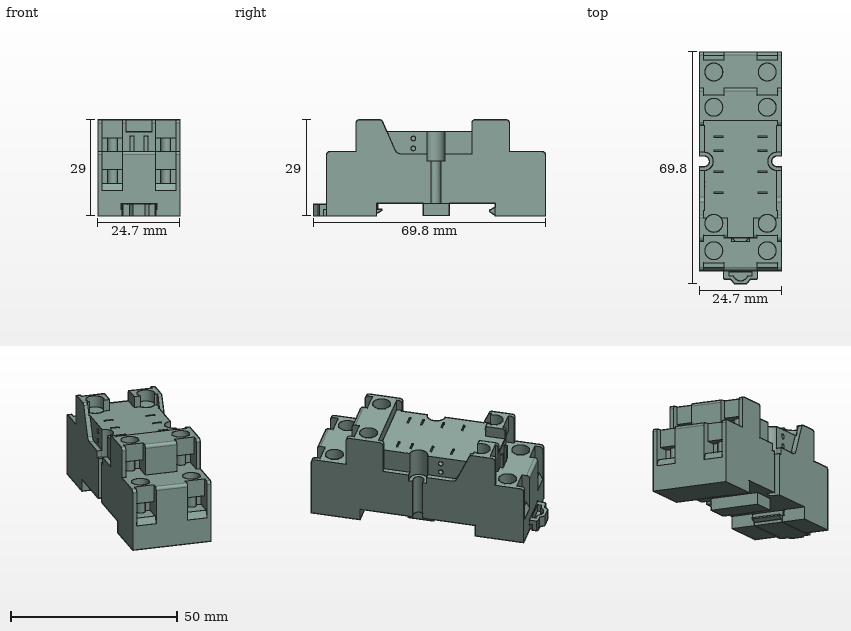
import cadquery as cq


overall_length = 69.8

width = 24.7
length = 65.9
total_height = 29.0
tier_drop = 9.55
tier_z = total_height - tier_drop
half_width = width / 2
edge_radius = 1.0
slope_foot_radius = 1.75

front_tower_y = 8.9
front_tower_back_y = 15.9
front_tower_top_back_y = 16.6
slope_foot_y = 21.15
back_tower_front_y = 43.7
back_tower_inner_y = 45.3
back_tower_y = 55.1
side_wall = 1.25
platform_z = 25.5
sill_z = 18.7
sill_depth = 1.55
tower_channel_width = 7.75
tower_mid_setback = 1.0
platform_lip = 0.15

rail_front_y = 15.1
rail_back_y = 50.75
rail_z = 3.8
foot_front_y = 29.05
foot_back_y = 37.0
foot_bottom_z = 0.15
foot_width = 15.8
hook_reach = 1.75
hook_width = 10.3
hook_top_z = 2.7
hook_tip_top_z = 1.75
hook_tip_bottom_z = 1.3
hook_bottom_z = 0.15

terminal_width = 6.15
terminal_x = half_width - side_wall - terminal_width / 2
screw_diameter = 5.4
screw_to_recess = 3.6
screw_depth = 3.55
post_diameter = 3.0
recess_height = 5.45
lip_depth = 1.05
lip_height = 2.1
front_low_screw_y = 6.1
front_tower_screw_y = 14.3
back_low_screw_y = 59.8
back_tower_screw_y = 49.2

notch_y = 32.95
notch_axis_inset = 1.4
notch_diameter = 3.15
counterbore_diameter = 5.5
counterbore_z = 16.6
side_bore_radius = 0.7
side_bore_depth = 2.1
side_bore_y = 26.1
side_bore_heights = (20.3, 23.3)

blade_x = 6.6
blade_length = 2.7
blade_thickness = 0.5
blade_depth = 3.5
blade_rows = (23.5, 29.9, 36.15, 40.35)

guide_width = 5.45
guide_top_z = 24.0
guide_mouth_width = 3.1
guide_root_width = 5.0
guide_slot_depth = 4.2

clip_width = 10.3
clip_height = 3.55
clip_flange_z = 1.95
clip_neck_width = 9.2
clip_neck_front_y = -0.85
clip_shoulder_y = -2.6
clip_front_y = length - overall_length
clip_corner = 0.4
clip_nose_root_width = 5.85
clip_nose_width = 3.6
clip_back_y = 15.4
clip_tip_y = 16.7
clip_hook_top_z = 2.1
clip_hook_tip_z = 1.7
clip_hook_bottom_z = 0.9
clip_clearance = 0.2
grip_width = 7.0
grip_back_y = -0.3
grip_front_y = -1.6
grip_arc_width = 4.2
grip_arc_y = -3.0
grip_floor_z = 1.25


def block(x_size, y0, y1, z0, z1, x=0):
    """Box centred on x, between two Y and two Z values."""
    return cq.Workplane("XY").box(x_size, y1 - y0, z1 - z0).translate((x, (y0 + y1) / 2, (z0 + z1) / 2))


def side_prism(points, x_size, x=0):
    """Prism centred on x with a (Y, Z) outline."""
    return cq.Workplane("YZ").polyline(points).close().extrude(x_size / 2, both=True).translate((x, 0, 0))


def round_edges(body, corners, radius=edge_radius):
    """Round the edges along X that pass through the given (Y, Z) corners."""
    for y, z in corners:
        body = body.edges(cq.selectors.NearestToPointSelector((0, y, z))).fillet(radius)
    return body


def make_shell():
    """Stepped outline with both towers, the sill and the rail recess."""
    outer_corners = [
        (0, tier_z),
        (front_tower_y, total_height),
        (front_tower_top_back_y, total_height),
        (back_tower_front_y, total_height),
        (back_tower_y, total_height),
        (length, tier_z),
    ]
    outline = [
        (0, 0),
        (0, tier_z),
        (front_tower_y, tier_z),
        (front_tower_y, total_height),
        (front_tower_top_back_y, total_height),
        (slope_foot_y, sill_z),
        (back_tower_front_y, sill_z),
        (back_tower_front_y, total_height),
        (back_tower_y, total_height),
        (back_tower_y, tier_z),
        (length, tier_z),
        (length, 0),
        (rail_back_y, 0),
        (rail_back_y, rail_z),
        (rail_front_y, rail_z),
        (rail_front_y, 0),
    ]
    shell = round_edges(side_prism(outline, width), outer_corners)
    return round_edges(shell, [(slope_foot_y, sill_z)], slope_foot_radius)


def shape_middle(body):
    """Platform between the towers, and the open middle of the front tower."""
    between_walls = width - 2 * side_wall
    body = body.union(
        block(width - 2 * sill_depth, front_tower_back_y, back_tower_inner_y, rail_z, platform_z)
    )
    body = body.cut(
        block(between_walls, front_tower_back_y, back_tower_inner_y, platform_z, total_height)
    )

    mid_width = between_walls - 2 * terminal_width
    mid_y = front_tower_y + tower_mid_setback
    body = body.cut(block(mid_width, front_tower_y, mid_y, tier_z, total_height))
    body = round_edges(body, [(mid_y, total_height)])
    body = body.cut(
        block(tower_channel_width, front_tower_y, front_tower_back_y, platform_z, total_height)
    )
    return body.cut(
        block(tower_channel_width, mid_y, mid_y + platform_lip, platform_z - platform_lip, platform_z)
    )


def terminal_cut(x, face_y, screw_y, top_z, inward, lip):
    """Recess, pocket and screw hole of one terminal; inward is +1 from the front, -1 from the back.

    The pocket ends at the screw axis, where half of a round post stands out of its back wall.
    """
    recess_y = screw_y - inward * screw_to_recess
    ceiling_z = top_z - recess_height
    floor_z = top_z - tier_drop
    opening = [
        (face_y, floor_z),
        (screw_y, floor_z),
        (screw_y, ceiling_z),
        (recess_y, ceiling_z),
        (recess_y, top_z),
        (face_y, top_z),
    ]
    cut = side_prism(opening, terminal_width, x)
    if lip:
        lip_wedge = [
            (face_y, floor_z),
            (face_y, floor_z - lip_height),
            (face_y + inward * lip_depth, floor_z),
        ]
        cut = cut.union(side_prism(lip_wedge, terminal_width, x))
    post = (
        cq.Workplane("XY", origin=(x, screw_y, floor_z))
        .circle(post_diameter / 2)
        .extrude(ceiling_z - floor_z)
    )
    screw_hole = (
        cq.Workplane("XY", origin=(x, screw_y, top_z - screw_depth))
        .circle(screw_diameter / 2)
        .extrude(screw_depth)
    )
    return cut.cut(post).union(screw_hole)


def cut_terminals(body):
    """Four rows of two terminals; only the low tiers have a sloped lip under the pocket."""
    rows = [
        (0, front_low_screw_y, tier_z, 1, True),
        (front_tower_y, front_tower_screw_y, total_height, 1, False),
        (back_tower_y, back_tower_screw_y, total_height, -1, False),
        (length, back_low_screw_y, tier_z, -1, True),
    ]
    for row in rows:
        for x in (-terminal_x, terminal_x):
            body = body.cut(terminal_cut(x, *row))
    return body


def side_slot(side, diameter, z0):
    """Round-ended slot open to one long side, from z0 upwards."""
    axis_x = side * (half_width - notch_axis_inset)
    radius = diameter / 2
    round_end = cq.Workplane("XY", origin=(axis_x, notch_y, z0)).circle(radius).extrude(total_height - z0)
    mouth = block(
        notch_axis_inset, notch_y - radius, notch_y + radius, z0, total_height,
        side * (half_width - notch_axis_inset / 2),
    )
    return round_end.union(mouth)


def cut_sides(body):
    """Mounting notches and the small blind bores above the sill."""
    wall_x = half_width - sill_depth
    for side in (-1, 1):
        body = body.cut(side_slot(side, notch_diameter, 0))
        body = body.cut(side_slot(side, counterbore_diameter, counterbore_z))
        for z in side_bore_heights:
            bore = (
                cq.Workplane("YZ", origin=(side * wall_x, side_bore_y, z))
                .circle(side_bore_radius)
                .extrude(-side * side_bore_depth)
            )
            body = body.cut(bore)
    return body


def cut_blade_slots(body):
    """Two columns of narrow slots for the relay blades."""
    for y in blade_rows:
        for x in (-blade_x, blade_x):
            slot = block(
                blade_length, y - blade_thickness / 2, y + blade_thickness / 2,
                platform_z - blade_depth, platform_z, x,
            )
            body = body.cut(slot)
    return body


def add_guide(body):
    """Two ribs with a tapered slot between them that sinks below the tier."""
    wall_y = front_tower_y + tower_mid_setback
    slot_z = tier_z - guide_slot_depth
    slot_outline = [
        (-guide_mouth_width / 2, front_tower_y),
        (guide_mouth_width / 2, front_tower_y),
        (guide_root_width / 2, wall_y),
        (-guide_root_width / 2, wall_y),
    ]
    slot = (
        cq.Workplane("XY", origin=(0, 0, slot_z))
        .polyline(slot_outline).close()
        .extrude(guide_top_z - slot_z)
    )
    return body.union(block(guide_width, front_tower_y, wall_y, tier_z, guide_top_z)).cut(slot)


def add_rail_features(body):
    """Centre foot and the fixed hook in the rail recess."""
    body = body.union(block(foot_width, foot_front_y, foot_back_y, foot_bottom_z, rail_z))
    hook = [
        (rail_back_y, hook_top_z),
        (rail_back_y - hook_reach, hook_tip_top_z),
        (rail_back_y - hook_reach, hook_tip_bottom_z),
        (rail_back_y, hook_bottom_z),
    ]
    return body.union(side_prism(hook, hook_width))


def cut_clip_slot(body):
    """T-shaped slot through the front foot, with a ledge under each clip flange."""
    flange_slot = block(clip_width + 2 * clip_clearance, 0, rail_front_y, clip_flange_z, rail_z)
    neck_slot = block(clip_neck_width + 2 * clip_clearance, 0, rail_front_y, 0, clip_flange_z)
    return body.cut(flange_slot).cut(neck_slot)


def make_housing():
    body = shape_middle(make_shell())
    body = cut_terminals(body)
    body = add_guide(body)
    body = cut_blade_slots(body)
    body = add_rail_features(body)
    body = cut_sides(body)
    return cut_clip_slot(body)


def make_clip():
    """T-shaped slide with a shaped finger grip at the front and a hook at the back."""
    half = clip_width / 2
    plan = [
        (-half, clip_back_y),
        (-half, clip_shoulder_y + clip_corner),
        (-half + clip_corner, clip_shoulder_y),
        (-clip_nose_root_width / 2, clip_shoulder_y),
        (-clip_nose_width / 2, clip_front_y),
        (clip_nose_width / 2, clip_front_y),
        (clip_nose_root_width / 2, clip_shoulder_y),
        (half - clip_corner, clip_shoulder_y),
        (half, clip_shoulder_y + clip_corner),
        (half, clip_back_y),
    ]
    clip = cq.Workplane("XY").polyline(plan).close().extrude(clip_height)

    flange_overhang = (clip_width - clip_neck_width) / 2
    for side in (-1, 1):
        x = side * (half - flange_overhang / 2)
        clip = clip.cut(block(flange_overhang, clip_neck_front_y, clip_back_y, 0, clip_flange_z, x))

    hook = [
        (clip_back_y, clip_hook_top_z),
        (clip_tip_y, clip_hook_top_z),
        (clip_tip_y, clip_hook_tip_z),
        (clip_back_y, clip_hook_bottom_z),
    ]
    clip = clip.union(side_prism(hook, clip_neck_width))
    below_hook = [
        (rail_front_y, 0),
        (clip_back_y, 0),
        (clip_back_y, clip_hook_bottom_z),
        (rail_front_y, clip_hook_bottom_z),
    ]
    clip = clip.cut(side_prism(below_hook, clip_width))

    grip = (
        cq.Workplane("XY", origin=(0, 0, grip_floor_z))
        .moveTo(-grip_width / 2, grip_back_y)
        .lineTo(-grip_width / 2, grip_front_y)
        .lineTo(-grip_arc_width / 2, grip_front_y)
        .threePointArc((0, grip_arc_y), (grip_arc_width / 2, grip_front_y))
        .lineTo(grip_width / 2, grip_front_y)
        .lineTo(grip_width / 2, grip_back_y)
        .close()
        .extrude(clip_height - grip_floor_z)
    )
    return clip.cut(grip)


housing = make_housing()
clip = make_clip()

result = cq.Compound.makeCompound([housing.val(), clip.val()])